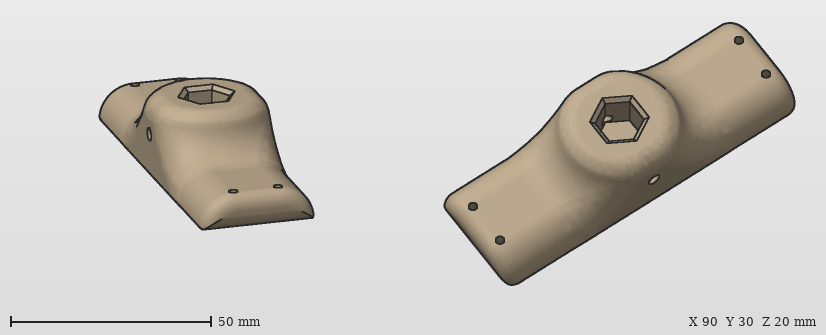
import cadquery as cq

length = 90.0
width = 30.0
height = 20.0
bar_height = 9.0
end_round = 4.0
rim_round = 5.0
bottom_round = 1.0
end_hole_diameter = 2.2
end_hole_x = 40.7
end_hole_y = 5.85
cross_hole_diameter = 3.2
cross_hole_z = 11.0
hex_mouth = 12.9
hex_socket = 10.6
mouth_depth = 1.1
hex_turn = 90.0

half_width = width / 2
side_round = bar_height
hub_radius = half_width
flare = height - bar_height
socket_depth = height - bar_height
hex_corner_ratio = 2 / 3**0.5
under = 2 * bar_height
tolerance = 0.01


def base_block(block_height):
    """Rectangular block on the base plane, as long and wide as the part."""
    return cq.Workplane().box(length, width, block_height, centered=(True, True, False))


def flared_hub():
    """Hub whose wall sweeps out to meet the top of the bar."""
    outer = hub_radius + flare
    return (
        cq.Workplane("XZ")
        .lineTo(outer, 0)
        .lineTo(outer, bar_height)
        .radiusArc((hub_radius, height), flare)
        .lineTo(0, height)
        .close()
        .revolve(360, (0, 0, 0), (0, 1, 0))
    )


def is_upper_side_edge(edge):
    """True for the edges where a flat side wall meets the bar top or the hub."""
    box = edge.BoundingBox()
    lies_in_wall = box.ylen < tolerance and abs(abs(box.center.y) - half_width) < tolerance
    return lies_in_wall and box.zmin > bar_height / 2


def rounded_body():
    """Bar and hub with all upper edges rounded, still reaching below the base."""
    bar = base_block(bar_height + under).translate((0, 0, -under))
    raw = bar.union(flared_hub().intersect(base_block(height)))

    side_edges = [edge for edge in raw.edges().vals() if is_upper_side_edge(edge)]
    solid = raw.newObject(side_edges).fillet(side_round)
    solid = solid.faces(">Z").edges().fillet(rim_round)

    end_edges = solid.faces("<X or >X").edges().vals()
    end_edges = [edge for edge in end_edges if edge.BoundingBox().zmax > -under / 2]
    return solid.newObject(end_edges).fillet(end_round)


def round_bottom(solid):
    """Trim at the base plane and round the underside, more at the ends than along the sides."""
    block = base_block(2 * height)
    solid = solid.intersect(block).faces("<Z").edges().fillet(bottom_round)
    return solid.intersect(block.edges("<Z and |Y").fillet(end_round))


def hexagon(z, across_flats):
    plane = cq.Workplane().workplane(offset=z).transformed(rotate=(0, 0, hex_turn))
    return plane.polygon(6, across_flats * hex_corner_ratio)


def hex_recess():
    """Hexagonal socket with a bevelled mouth, opening at the hub top."""
    socket = hexagon(height - socket_depth, hex_socket).extrude(socket_depth)
    mouth = (
        hexagon(height - mouth_depth, hex_socket)
        .workplane(offset=mouth_depth)
        .polygon(6, hex_mouth * hex_corner_ratio)
        .loft(ruled=True)
    )
    return socket.union(mouth)


def end_holes():
    """Four vertical through holes, two near each end of the bar."""
    return (
        cq.Workplane()
        .rect(2 * end_hole_x, 2 * end_hole_y, forConstruction=True)
        .vertices()
        .circle(end_hole_diameter / 2)
        .extrude(height)
    )


def cross_hole():
    """Through hole along Y, crossing the lower part of the socket."""
    return (
        cq.Workplane("XZ")
        .center(0, cross_hole_z)
        .circle(cross_hole_diameter / 2)
        .extrude(half_width, both=True)
    )


result = round_bottom(rounded_body())
for opening in (hex_recess(), end_holes(), cross_hole()):
    result = result.cut(opening)